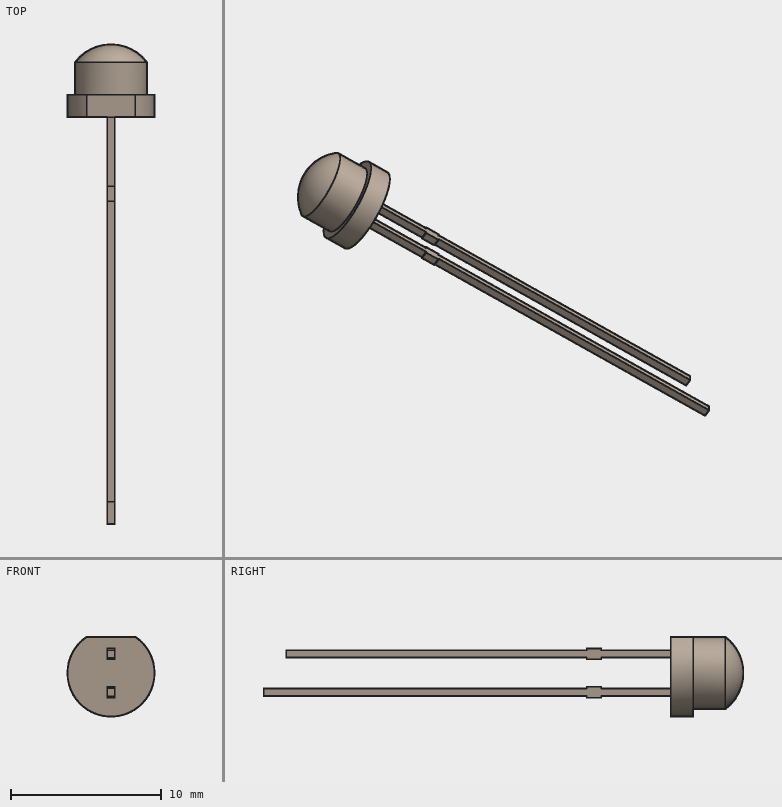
import cadquery as cq

total_length = 31.85

flange_diameter = 5.8
flange_thickness = 1.5
lens_diameter = 4.8
lens_radius = lens_diameter / 2
lens_length = 2.13
dome_height = 1.2
flat_height = lens_radius

lead_width = 0.5
lead_spacing = 2.55
short_lead_setback = 1.5

stop_height = 0.73
stop_length = 1.0
stop_distance = 4.6

dome_base_y = total_length - dome_height
flange_top_y = dome_base_y - lens_length
flange_face_y = flange_top_y - flange_thickness


def make_lens():
    """Cylinder closed by a spherical cap, revolved about the Y axis."""
    dome_radius = (lens_radius**2 + dome_height**2) / (2 * dome_height)
    mid_radius = lens_radius / 2
    mid_y = total_length - dome_radius + (dome_radius**2 - mid_radius**2) ** 0.5
    return (
        cq.Workplane("YZ")
        .moveTo(flange_top_y, 0)
        .lineTo(flange_top_y, lens_radius)
        .lineTo(dome_base_y, lens_radius)
        .threePointArc((mid_y, mid_radius), (total_length, 0))
        .close()
        .revolve(360, (0, 0), (1, 0))
    )


def make_flange():
    """Round disc with one flat on its +Z side."""
    flange_radius = flange_diameter / 2
    disc = (
        cq.Workplane("XZ", origin=(0, flange_top_y, 0))
        .circle(flange_radius)
        .extrude(flange_thickness)
    )
    keep_height = flange_radius + flat_height
    keep = cq.Workplane("XY").box(
        flange_diameter, flange_thickness, keep_height, centered=(True, False, False)
    )
    return disc.intersect(keep.translate((0, flange_face_y, -flange_radius)))


def make_bar(height, start_y, end_y, center_z):
    """Bar of lead width running along Y."""
    return (
        cq.Workplane("XY")
        .box(lead_width, end_y - start_y, height, centered=(True, False, True))
        .translate((0, start_y, center_z))
    )


def make_lead(tip_y, center_z):
    """Straight lead with its stand-off stop."""
    stop_end_y = flange_face_y - stop_distance
    wire = make_bar(lead_width, tip_y, flange_face_y, center_z)
    stop = make_bar(stop_height, stop_end_y - stop_length, stop_end_y, center_z)
    return wire.union(stop)


long_lead = make_lead(0, -lead_spacing / 2)
short_lead = make_lead(short_lead_setback, lead_spacing / 2)

result = make_lens().union(make_flange()).union(long_lead).union(short_lead)